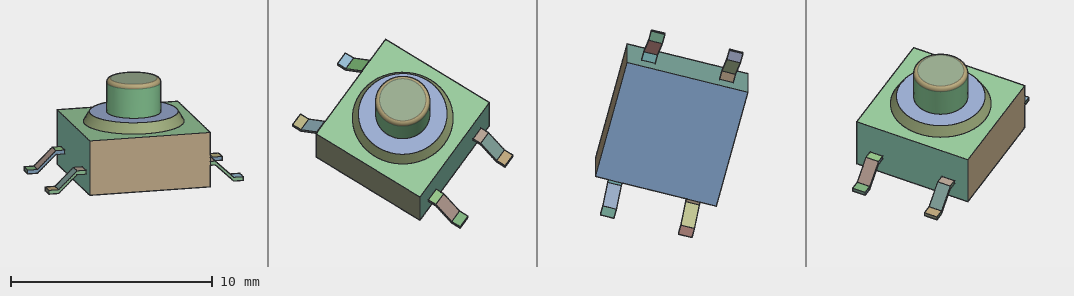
import cadquery as cq

housing_side = 6.2
housing_height = 2.8
collar_height = 0.5
collar_base_radius = 2.5
collar_top_radius = 2.2
collar_top = housing_height + collar_height

button_radius = 2.7 / 2
button_top = 5.0
button_edge_radius = 0.2

lead_pitch = 4.0
lead_width = 0.7
lead_thickness = 0.2
lead_span = 10.0
lead_toe_length = 0.5
lead_shoulder_length = 0.45
lead_shoulder_bottom = 0.9

lead_end_y = lead_span / 2
toe_bend_y = lead_end_y - lead_toe_length
shoulder_bend_y = housing_side / 2 + lead_shoulder_length


def make_lead(center_x):
    """Gull-wing strip of constant vertical thickness, with a flat toe at each end."""
    lower_edge = [
        (-lead_end_y, 0),
        (-toe_bend_y, 0),
        (-shoulder_bend_y, lead_shoulder_bottom),
        (shoulder_bend_y, lead_shoulder_bottom),
        (toe_bend_y, 0),
        (lead_end_y, 0),
    ]
    upper_edge = [(y, z + lead_thickness) for y, z in reversed(lower_edge)]
    return (
        cq.Workplane("YZ", origin=(center_x, 0, 0))
        .polyline(lower_edge + upper_edge)
        .close()
        .extrude(lead_width / 2, both=True)
    )


def make_housing(leads):
    """Box and collar, with a through slot fitted around each lead."""
    box = cq.Workplane("XY").rect(housing_side, housing_side).extrude(housing_height)
    collar = (
        cq.Workplane("XZ")
        .moveTo(0, housing_height)
        .lineTo(collar_base_radius, housing_height)
        .lineTo(collar_top_radius, collar_top)
        .lineTo(0, collar_top)
        .close()
        .revolve(360, (0, 0), (0, 1))
    )
    housing = box.union(collar)
    for lead in leads:
        housing = housing.cut(lead)
    return housing


def make_button():
    """Round button standing on the collar, with a rounded top edge."""
    return (
        cq.Workplane("XY", origin=(0, 0, collar_top))
        .circle(button_radius)
        .extrude(button_top - collar_top)
        .faces(">Z")
        .edges()
        .fillet(button_edge_radius)
    )


leads = [make_lead(side * lead_pitch / 2) for side in (-1, 1)]
housing = make_housing(leads)
button = make_button()

bodies = [housing, button, *leads]
result = cq.Compound.makeCompound([body.solids().val() for body in bodies])